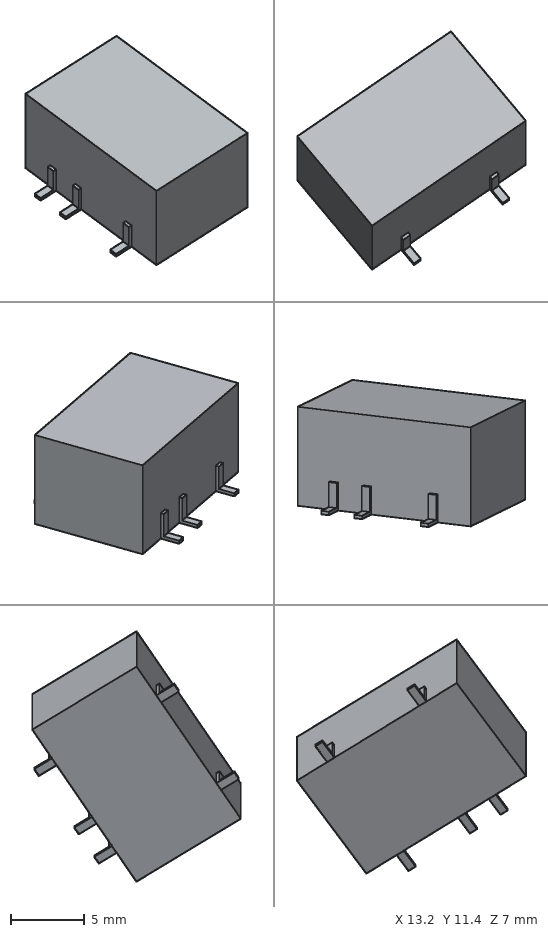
import cadquery as cq

housing_length = 13.2
housing_width = 8.5
housing_height = 7.0

lead_width = 0.6
lead_thickness = 0.25
lead_height = 2.0
lead_reach = 1.45
lead_pitch = 2.53

outer_position = 1.5 * lead_pitch
inner_position = 0.5 * lead_pitch
front_lead_places = [-outer_position, -inner_position, outer_position]
back_lead_places = [-outer_position, outer_position]


def make_housing():
    """Plain block centred in X and Y, standing on Z = 0."""
    return cq.Workplane("XY").box(
        housing_length, housing_width, housing_height, centered=(True, True, False)
    )


def make_lead(x_center, side):
    """One lead on the housing wall at -Y (side = -1) or +Y (side = 1)."""
    wall = side * housing_width / 2
    leg_outside = wall + side * lead_thickness
    toe = wall + side * lead_reach
    return (
        cq.Workplane("YZ", origin=(x_center, 0, 0))
        .moveTo(wall, 0)
        .lineTo(toe, 0)
        .lineTo(toe, lead_thickness)
        .lineTo(leg_outside, lead_thickness)
        .lineTo(leg_outside, lead_height)
        .lineTo(wall, lead_height)
        .close()
        .extrude(lead_width / 2, both=True)
    )


housing = make_housing()

leads = []
for x_center in front_lead_places:
    leads.append(make_lead(x_center, -1).val())
for x_center in back_lead_places:
    leads.append(make_lead(x_center, 1).val())

result = cq.Compound.makeCompound([housing.val(), *leads])